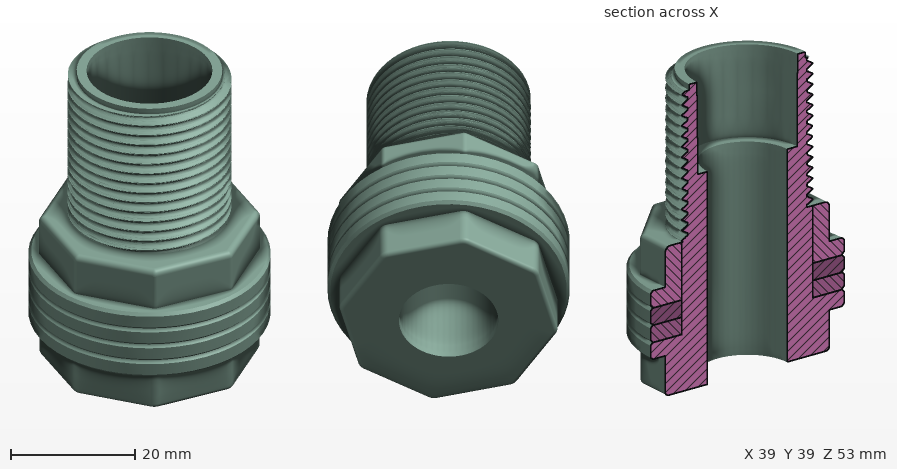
import cadquery as cq
import math

total_height = 53.0
octagon_height = 7.0
stack_height = 12.0
gasket_count = 2
ring_height = stack_height / (gasket_count + 2)
tip_height = 1.0
flange_seat_z = octagon_height + ring_height
nut_bottom_z = octagon_height + stack_height - ring_height
nut_flange_top_z = octagon_height + stack_height
nut_top_z = nut_flange_top_z + octagon_height
thread_top_z = total_height - tip_height

ring_diameter = 39.0
ring_chamfer = 0.5
shank_diameter = 26.5
octagon_sides = 8
octagon_flats = 33.0
octagon_circumdiameter = octagon_flats / math.cos(math.pi / octagon_sides)
body_corner_radius = 2.0
body_edge_radius = 0.75
nut_corner_radius = 1.0
nut_edge_radius = 1.0

bore_diameter = 16.0
socket_mouth_diameter = 20.25
socket_floor_diameter = 19.95
socket_depth = 16.0

tip_diameter = 23.4
thread_root_diameter = 24.1
thread_crest_diameter = 26.45
thread_turns = 14
thread_turns_height = 25.4
thread_pitch = thread_turns_height / thread_turns
thread_root_flat = 0.3
thread_crest_flat = 0.1
flank_segments = 4
crest_z = 51.1


def ring(bottom_z):
    """Chamfered disc shared by the flanges and the gaskets."""
    disc = cq.Workplane("XY").workplane(offset=bottom_z).circle(ring_diameter / 2).extrude(ring_height)
    return disc.edges("%CIRCLE").chamfer(ring_chamfer)


def octagon(bottom_z, corner_radius):
    """Octagonal grip with flats square to X and Y and rounded corners."""
    prism = (
        cq.Workplane("XY")
        .workplane(offset=bottom_z)
        .transformed(rotate=(0, 0, 180 / octagon_sides))
        .polygon(octagon_sides, octagon_circumdiameter)
        .extrude(octagon_height)
    )
    return prism.edges("|Z").fillet(corner_radius)


def cylinder(bottom_z, top_z, diameter):
    return cq.Workplane("XY").workplane(offset=bottom_z).circle(diameter / 2).extrude(top_z - bottom_z)


def polar(radius, angle):
    return (radius * math.cos(angle), radius * math.sin(angle))


def thread():
    """Right-hand thread made by twisting its cross-section up the axis, one turn per pitch.

    Across the axis the thread is a crest arc and a root arc joined by two spiral flanks.
    """
    crest_radius = thread_crest_diameter / 2
    root_radius = thread_root_diameter / 2
    crest_end_angle = math.pi * thread_crest_flat / thread_pitch
    root_start_angle = math.pi * (1 - thread_root_flat / thread_pitch)

    def falling_flank(t):
        radius = crest_radius + (root_radius - crest_radius) * t
        return polar(radius, crest_end_angle + (root_start_angle - crest_end_angle) * t)

    def rising_flank(t):
        x, y = falling_flank(1 - t)
        return (x, -y)

    section = (
        cq.Workplane("XY")
        .moveTo(*polar(crest_radius, -crest_end_angle))
        .threePointArc((crest_radius, 0), polar(crest_radius, crest_end_angle))
        .parametricCurve(falling_flank, N=flank_segments, makeWire=False)
        .threePointArc((-root_radius, 0), polar(root_radius, -root_start_angle))
        .parametricCurve(rising_flank, N=flank_segments, makeWire=False)
        .wire()
    )
    thread_length = thread_top_z - nut_top_z
    start_angle = 360 * (nut_top_z - crest_z) / thread_pitch
    blank = section.twistExtrude(thread_length, 360 * thread_length / thread_pitch)
    return blank.rotate((0, 0, 0), (0, 0, 1), start_angle).translate((0, 0, nut_top_z))


def make_body():
    """Octagon, flange, plain shank and thread with a through bore and a tapered socket on top."""
    grip = octagon(0, body_corner_radius).faces("<Z").edges().fillet(body_edge_radius)
    tip = cylinder(thread_top_z, total_height, tip_diameter)
    shank = cylinder(flange_seat_z, nut_top_z, shank_diameter)
    base = grip.union(ring(octagon_height)).union(shank)
    outside = thread().union(tip, clean=False).union(base, clean=False)
    bore = cylinder(0, total_height, bore_diameter)
    socket = (
        cq.Workplane("XY")
        .workplane(offset=total_height)
        .circle(socket_mouth_diameter / 2)
        .workplane(offset=-socket_depth)
        .circle(socket_floor_diameter / 2)
        .loft()
    )
    return outside.cut(bore, clean=False).cut(socket, clean=False)


def make_gasket(bottom_z):
    return ring(bottom_z).cut(cylinder(bottom_z, bottom_z + ring_height, shank_diameter))


def make_nut():
    """Flange and octagon with a bore fitting the plain shank."""
    grip = octagon(nut_flange_top_z, nut_corner_radius).faces(">Z").edges().fillet(nut_edge_radius)
    outside = grip.union(ring(nut_bottom_z))
    return outside.cut(cylinder(nut_bottom_z, nut_top_z, shank_diameter))


body = make_body()
gaskets = [make_gasket(flange_seat_z + i * ring_height) for i in range(gasket_count)]
nut = make_nut()

result = cq.Compound.makeCompound([body.val(), *[gasket.val() for gasket in gaskets], nut.val()])